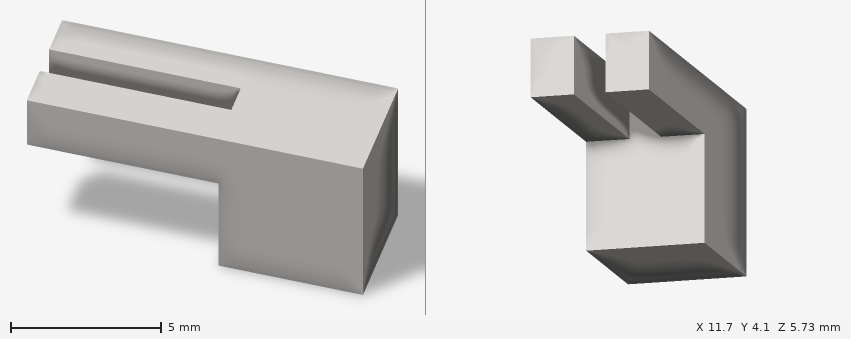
import cadquery as cq

length = 11.68
width = 4.1
height = 5.73

prong_length = 6.66
prong_thickness = 2.01
slot_width = 1.1

block_length = length - prong_length


def make_block():
    """Solid block at the +X end, resting on Z = 0."""
    block = cq.Workplane("XY").box(block_length, width, height, centered=(False, True, False))
    return block.translate((prong_length, 0, 0))


def make_prong(side):
    """One prong, flush with the block's top and outer face; side is -1 or +1 along Y."""
    prong_width = (width - slot_width) / 2
    center_y = side * (slot_width + prong_width) / 2
    prong = cq.Workplane("XY").box(
        prong_length, prong_width, prong_thickness, centered=(False, True, False)
    )
    return prong.translate((0, center_y, height - prong_thickness))


result = make_block()
for side in (-1, 1):
    result = result.union(make_prong(side))